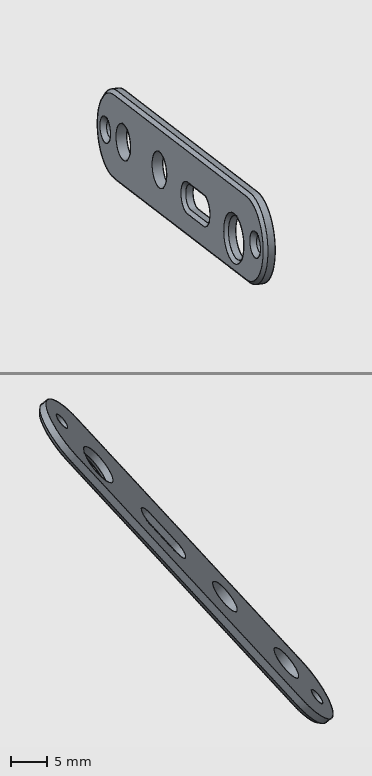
import cadquery as cq

plate_length = 60.8
plate_height = 13.0
plate_thickness = 1.6
edge_chamfer = 0.5

screw_hole_diameter = 2.4
screw_head_diameter = 3.8
screw_spacing = 54.0

plain_hole_diameter = 5.2
plain_hole_x_positions = (-20.5, -7.5)
plain_hole_z = 0.2

slot_length = 9.4
slot_height = 3.6
slot_x = 5.5
slot_z = -0.75

large_hole_diameter = 6.2
large_hole_x = 19.3
large_hole_z = -1.45

opening_chamfer = 0.5

front_y = -plate_thickness / 2


def front_plane(x, z):
    """Sketch plane on the front face at (x, z), with its normal pointing into the plate."""
    return cq.Workplane(cq.Plane(origin=(x, front_y, z), xDir=(1, 0, 0), normal=(0, 1, 0)))


def make_plate():
    plate = front_plane(0, 0).slot2D(plate_length, plate_height).extrude(plate_thickness)
    return plate.faces("<Y").chamfer(edge_chamfer)


def round_cutter(diameter, x, z, rim_chamfer=0):
    """Through-hole cutter, flared at the front by a 45 degree chamfer when one is given."""
    cutter = front_plane(x, z).circle(diameter / 2).extrude(plate_thickness)
    if rim_chamfer > 0:
        rim_radius = diameter / 2 + rim_chamfer
        flare = cq.Solid.makeCone(
            rim_radius, diameter / 2, rim_chamfer, cq.Vector(x, front_y, z), cq.Vector(0, 1, 0)
        )
        cutter = cutter.union(cq.Workplane(flare))
    return cutter


def cut_slot(plate):
    """Cut the obround opening and chamfer its front rim."""
    cutter = front_plane(slot_x, slot_z).slot2D(slot_length, slot_height).extrude(plate_thickness)
    opened = plate.cut(cutter)
    slot_center = (slot_x, front_y, slot_z)
    rim = cq.selectors.NearestToPointSelector(slot_center)
    return opened.faces("<Y").wires(rim).chamfer(opening_chamfer)


result = cut_slot(make_plate())

screw_rim_chamfer = (screw_head_diameter - screw_hole_diameter) / 2
for screw_x in (-screw_spacing / 2, screw_spacing / 2):
    result = result.cut(round_cutter(screw_hole_diameter, screw_x, 0, screw_rim_chamfer))

for plain_hole_x in plain_hole_x_positions:
    result = result.cut(round_cutter(plain_hole_diameter, plain_hole_x, plain_hole_z))

result = result.cut(round_cutter(large_hole_diameter, large_hole_x, large_hole_z, opening_chamfer))